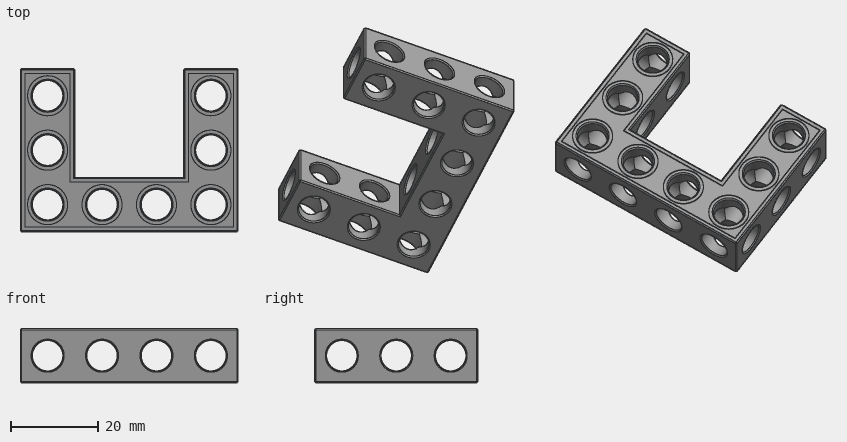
import cadquery as cq

cell = 12.5
cells_x = 4
cells_y = 3
leg_columns = (0, cells_x - 1)
length = cells_x * cell
width = cells_y * cell
height = cell
opening_length = length - 2 * cell
opening_width = width - cell

edge_chamfer = 0.3
hole_diameter = 7.0
hole_mouth_diameter = 7.6
mouth_chamfer = (hole_mouth_diameter - hole_diameter) / 2

rim_width = 1.1
ring_diameter = 9.2
recess_depth = 0.2

along_x = cq.Vector(1, 0, 0)
along_y = cq.Vector(0, 1, 0)
along_z = cq.Vector(0, 0, 1)


def cell_centre(index):
    """Distance from the frame corner to the centre of a cell along one axis."""
    return (index + 0.5) * cell


def u_prism(inset, bottom, thickness):
    """U-shaped plate, open toward +Y, with its outline moved inward by the inset."""
    outer = cq.Workplane("XY").box(
        length - 2 * inset, width - 2 * inset, thickness, centered=False
    )
    opening = (
        cq.Workplane("XY")
        .box(opening_length + 2 * inset, opening_width, thickness, centered=False)
        .translate((cell - 2 * inset, cell - 2 * inset, 0))
    )
    return outer.cut(opening).translate((inset, inset, bottom))


def hole_cutter(start, direction, depth):
    """Round hole with a chamfered mouth at both ends."""
    radius = hole_diameter / 2
    mouth_radius = hole_mouth_diameter / 2
    shaft = cq.Solid.makeCylinder(radius, depth, start, direction)
    near_mouth = cq.Solid.makeCone(mouth_radius, radius, mouth_chamfer, start, direction)
    end = start + direction * depth
    far_mouth = cq.Solid.makeCone(mouth_radius, radius, mouth_chamfer, end, -direction)
    return cq.Workplane(shaft).union(cq.Workplane(near_mouth)).union(cq.Workplane(far_mouth))


hole_points = [
    (cell_centre(i), cell_centre(j))
    for i in range(cells_x)
    for j in range(cells_y)
    if j == 0 or i in leg_columns
]

selection_margin = 0.5
frame = u_prism(0, 0, height)
inner_corners = cq.selectors.BoxSelector(
    (cell - selection_margin, cell - selection_margin, selection_margin),
    (length - cell + selection_margin, cell + selection_margin, height - selection_margin),
)
frame = frame.edges(-inner_corners).chamfer(edge_chamfer)

rings = (
    cq.Workplane("XY", origin=(0, 0, height - recess_depth))
    .pushPoints(hole_points)
    .circle(ring_diameter / 2)
    .extrude(recess_depth)
)
recess = u_prism(rim_width, height - recess_depth, recess_depth).cut(rings)
frame = frame.cut(recess)

for x, y in hole_points:
    frame = frame.cut(hole_cutter(cq.Vector(x, y, 0), along_z, height))

for i in range(cells_x):
    depth = width if i in leg_columns else cell
    frame = frame.cut(hole_cutter(cq.Vector(cell_centre(i), 0, height / 2), along_y, depth))

frame = frame.cut(hole_cutter(cq.Vector(0, cell_centre(0), height / 2), along_x, length))

for j in range(1, cells_y):
    for i in leg_columns:
        start = cq.Vector(i * cell, cell_centre(j), height / 2)
        frame = frame.cut(hole_cutter(start, along_x, cell))

result = frame